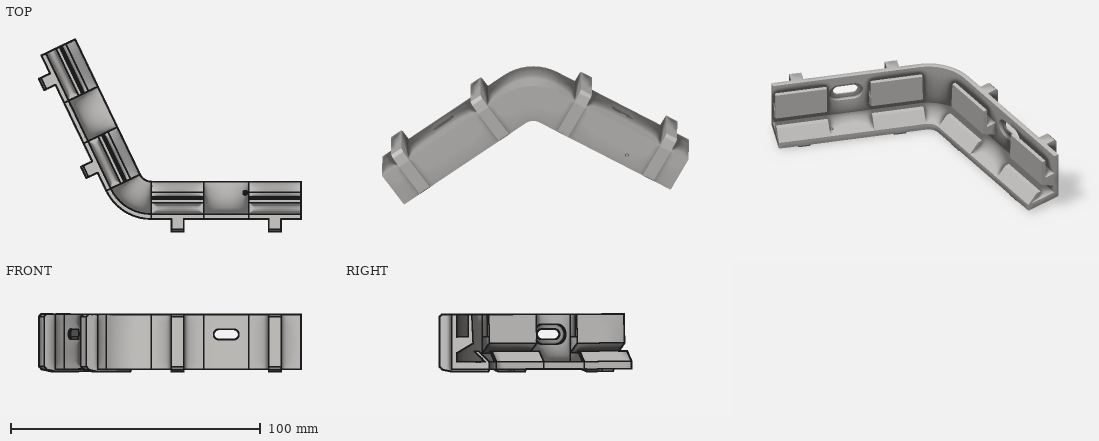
import cadquery as cq


bend_angle = 64.4
lean_angle = 0.16
outer_bend_radius = 20.0
bracket_width = 15.0
bracket_height = 22.0
wall_thickness = 2.0
floor_thickness = 3.0
clip_length = 21.0
plate_length = 18.0
leg_length = 2 * clip_length + plate_length

arm_inner_face = 6.5
arm_top_thickness = 1.5
arm_foot_thickness = 2.0
arm_foot_height = 10.4
bridge_top = 13.0
bridge_root_height = 6.5
lip_rise = 4.2
lip_thickness = 1.8
lip_top = floor_thickness + lip_rise
lip_tip_face = bracket_width - lip_rise - lip_thickness

post_width = 5.0
post_depth = 5.0
post_chamfer = 1.0
post_toe_chamfer = 1.3
post_toe_drop = 0.2
strap_thickness = 1.0
strap_start = 0.4
strap_end = 14.5

slot_length = 10.0
slot_height = 4.0
slot_centre_height = 14.0
slot_web_thickness = 0.5
recess_margin = 2.0

island_diameter = 0.8
island_hole_diameter = 1.6
island_along_plate = 16.6
island_inset = 10.5


def extrude_profile(points, length):
    """Extrude a (u, z) outline along the leg, from x = 0."""
    return cq.Workplane("YZ").polyline(points).close().extrude(length)


def wall_and_floor_points():
    return [
        (0, 0),
        (bracket_width, 0),
        (bracket_width, floor_thickness),
        (wall_thickness, floor_thickness),
        (wall_thickness, bracket_height),
        (0, bracket_height),
    ]


def make_clip():
    body = extrude_profile(
        [
            (0, 0),
            (bracket_width, 0),
            (bracket_width, floor_thickness),
            (lip_tip_face + lip_thickness, lip_top),
            (lip_tip_face, lip_top),
            (lip_tip_face + lip_rise, floor_thickness),
            (wall_thickness, floor_thickness),
            (wall_thickness, bridge_root_height),
            (arm_inner_face + arm_foot_thickness, arm_foot_height),
            (arm_inner_face + arm_top_thickness, bracket_height),
            (arm_inner_face, bracket_height),
            (arm_inner_face, bridge_top),
            (wall_thickness, bridge_top),
            (wall_thickness, bracket_height),
            (0, bracket_height),
        ],
        clip_length,
    )
    post = extrude_profile(
        [
            (0, bracket_height),
            (post_chamfer - post_depth, bracket_height),
            (-post_depth, bracket_height - post_chamfer),
            (-post_depth, post_toe_chamfer - post_toe_drop),
            (post_toe_chamfer - post_depth, -post_toe_drop),
            (strap_start, -strap_thickness),
            (strap_end, -strap_thickness),
            (bracket_width, 0),
            (0, 0),
        ],
        post_width,
    ).translate(((clip_length - post_width) / 2, 0, 0))
    return body.union(post)


def wall_slot(length, height, start, depth):
    """Round-ended cutter at mid-plate, running inward from u = start."""
    return (
        cq.Workplane("XZ", origin=(plate_length / 2, start, slot_centre_height))
        .slot2D(length, height)
        .extrude(-depth)
    )


def make_centre_plate():
    plate = extrude_profile(wall_and_floor_points(), plate_length)
    slot = wall_slot(slot_length, slot_height, 0, wall_thickness)
    recess = wall_slot(
        slot_length + 2 * recess_margin,
        slot_height + 2 * recess_margin,
        slot_web_thickness,
        wall_thickness - slot_web_thickness,
    )
    return plate.cut(slot).cut(recess)


def floor_disc(diameter):
    """Disc through the floor at the island's place on the centre plate."""
    return (
        cq.Workplane("XY", origin=(island_along_plate, island_inset, 0))
        .circle(diameter / 2)
        .extrude(floor_thickness)
    )


def make_bend():
    """Wall and floor swept about the bend axis, from the first leg to the second."""
    return (
        cq.Workplane("YZ")
        .polyline(wall_and_floor_points())
        .close()
        .revolve(bend_angle, (outer_bend_radius, 0, 0), (outer_bend_radius, -1, 0))
    )


def on_first_leg(body, offset):
    return body.translate((offset, 0, 0))


def on_second_leg(body, offset):
    """Place a body on the leg turned clockwise about the bend axis."""
    axis_start = (0, outer_bend_radius, 0)
    axis_end = (0, outer_bend_radius, 1)
    return body.translate((offset - leg_length, 0, 0)).rotate(axis_start, axis_end, -bend_angle)


plate_offset = clip_length
clip_offsets = [0, clip_length + plate_length]

clips = []
for place in (on_first_leg, on_second_leg):
    for clip_offset in clip_offsets:
        clips.append(place(make_clip(), clip_offset))

island_plate = on_first_leg(make_centre_plate().cut(floor_disc(island_hole_diameter)), plate_offset)
island = on_first_leg(floor_disc(island_diameter), plate_offset)
plain_plate = on_second_leg(make_centre_plate(), plate_offset)
bend = make_bend()



def lean(body):
    """Tip a placed body about the X axis."""
    return body.rotate((0, 0, 0), (1, 0, 0), lean_angle)


result = cq.Compound.makeCompound(
    [
        *[lean(clip).val() for clip in clips],
        lean(island_plate).val(),
        lean(plain_plate).val(),
        lean(island).val(),
        lean(bend).val(),
    ]
)